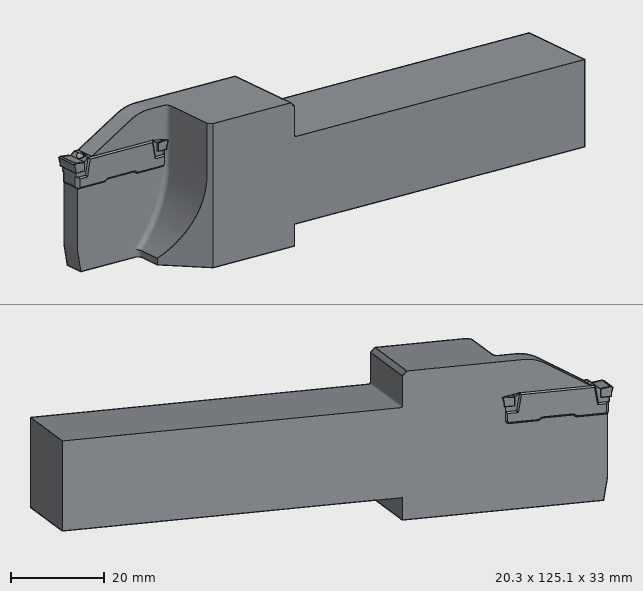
import cadquery as cq
import math


overall_length = 125.06
shank_width = 19.9
shank_top = 20.0
head_back = 47.75
head_top = 28.0
head_bottom = -5.0
head_back_chamfer = 1.0
neck_fillet = 0.5
blade_thickness = 4.9

nose_angle = math.radians(30)
nose_radius = 10.0
nose_arc_start = 20.2
front_face = 1.1
foot_relief_angle = math.radians(10)
foot_height = -head_bottom
clamp_bottom_inside_insert = 17.0

clearance_wall = 25.1
clearance_toe = 17.5
clearance_arc_top = 16.5
clearance_toe_height = 1.5
clearance_fillet = 1.2
corner_cut_start = 26.0
cut_margin = 1.0

insert_length = 25.0
edge_height = shank_top
insert_top = 20.7
insert_bottom = 14.1
rake_crest = 0.5
rake_crest_height = 0.15
land_length = 2.9
land_drop = 0.1
land_rise_end = 3.9
front_relief = 0.35
relief_bottom = 18.7
front_recess = 0.7
bottom_bevel = 0.5
arch_start = 8.2
arch_end = 9.0
arch_height = 0.5
front_bevel_width = 0.4
front_bevel_length = 0.8

pad_height = 0.35
pad_bevel = 0.35
pad_head_gap_length = 3.2
pad_head_gap_bottom = 16.8
head_overhang = 0.4
head_length = 2.7
head_lower_edge = 18.0

vee_width = 2.5
vee_depth = 0.4

dimple_diameter = 2.5
dimple_setback = 3.6
dimple_center_height = 21.1


def side_plate(points, x_start, thickness, taper=0):
    """Extrude a (Y, Z) outline along X; a negative thickness grows toward -X."""
    plane = cq.Workplane("YZ").workplane(offset=x_start)
    return plane.polyline(points).close().extrude(thickness, taper=taper)


def both_ends(half_outline):
    """Complete an outline given from the front end by mirroring it to the rear end."""
    rear = [(insert_length - y, z) for y, z in reversed(half_outline)]
    return half_outline + rear


def insert_core():
    half_outline = [
        (arch_end, insert_bottom + arch_height),
        (arch_start, insert_bottom),
        (front_recess + bottom_bevel, insert_bottom),
        (front_recess, insert_bottom + bottom_bevel),
        (front_recess, head_lower_edge),
        (front_relief, head_lower_edge),
        (front_relief, relief_bottom),
        (0, edge_height),
        (rake_crest, edge_height + rake_crest_height),
        (land_length, edge_height - land_drop),
        (land_rise_end, insert_top),
    ]
    return side_plate(both_ends(half_outline), 0, blade_thickness)


def insert_pad(x_start, direction):
    half_outline = [
        (arch_end, insert_bottom + arch_height),
        (arch_start, insert_bottom),
        (front_recess + bottom_bevel, insert_bottom),
        (front_recess, insert_bottom + bottom_bevel),
        (front_recess, pad_head_gap_bottom),
        (pad_head_gap_length, pad_head_gap_bottom),
        (land_rise_end, insert_top),
    ]
    pad_taper = math.degrees(math.atan2(pad_bevel, pad_height))
    return side_plate(both_ends(half_outline), x_start, direction * pad_height, pad_taper)


def cutting_heads():
    front_outline = [
        (0, edge_height),
        (rake_crest, edge_height + rake_crest_height),
        (head_length, edge_height - land_drop),
        (head_length, head_lower_edge),
        (front_relief, head_lower_edge),
        (front_relief, relief_bottom),
    ]
    rear_outline = [(insert_length - y, z) for y, z in front_outline]
    width = blade_thickness + 2 * head_overhang
    front_head = side_plate(front_outline, -head_overhang, width)
    return front_head.union(side_plate(rear_outline, -head_overhang, width))


def vee_groove(face_z, tip_z):
    middle = blade_thickness / 2
    return (
        cq.Workplane("XZ")
        .moveTo(middle - vee_width / 2, face_z)
        .lineTo(middle + vee_width / 2, face_z)
        .lineTo(middle, tip_z)
        .close()
        .extrude(-insert_length)
    )


def chip_breaker_dimples():
    middle = blade_thickness / 2
    return (
        cq.Workplane("XY")
        .workplane(offset=dimple_center_height)
        .pushPoints([(middle, dimple_setback), (middle, insert_length - dimple_setback)])
        .sphere(dimple_diameter / 2)
    )


def front_bevels():
    """Wedges that narrow the insert front below the cutting head."""
    left = -pad_height
    right = blade_thickness + pad_height
    bevels = cq.Workplane("XY")
    for side, inward in ((left, 1), (right, -1)):
        wedge = (
            cq.Workplane("XY")
            .workplane(offset=insert_bottom)
            .moveTo(side, front_recess)
            .lineTo(side + inward * (pad_height + front_bevel_width), front_recess)
            .lineTo(side, front_recess + front_bevel_length)
            .close()
            .extrude(pad_head_gap_bottom - insert_bottom)
        )
        bevels = bevels.add(wedge)
    return bevels.combine()


def insert_blank():
    """Insert before its dimples and front bevels; it also shapes the holder pocket."""
    blank = insert_core()
    blank = blank.union(insert_pad(0, -1))
    blank = blank.union(insert_pad(blade_thickness, 1))
    blank = blank.union(cutting_heads())
    blank = blank.cut(vee_groove(insert_top, insert_top - vee_depth))
    return blank.cut(vee_groove(insert_bottom, insert_bottom + vee_depth))


def shank():
    length = overall_length - head_back
    return cq.Workplane("XY").box(shank_width, length, shank_top, centered=False).translate((0, head_back, 0))


def head_blank():
    arc_end_y = nose_arc_start - nose_radius * math.sin(nose_angle)
    arc_end_z = head_top - nose_radius * (1 - math.cos(nose_angle))
    arc_mid_y = nose_arc_start - nose_radius * math.sin(nose_angle / 2)
    arc_mid_z = head_top - nose_radius * (1 - math.cos(nose_angle / 2))
    clamp_tip_y = arc_end_y - (arc_end_z - insert_top) / math.tan(nose_angle)
    foot_setback = foot_height * math.tan(foot_relief_angle)
    return (
        cq.Workplane("YZ")
        .moveTo(head_back, head_bottom)
        .lineTo(head_back, head_top - head_back_chamfer)
        .lineTo(head_back - head_back_chamfer, head_top)
        .lineTo(nose_arc_start, head_top)
        .threePointArc((arc_mid_y, arc_mid_z), (arc_end_y, arc_end_z))
        .lineTo(clamp_tip_y, insert_top)
        .lineTo(clamp_tip_y, clamp_bottom_inside_insert)
        .lineTo(front_face, clamp_bottom_inside_insert)
        .lineTo(front_face, head_bottom + foot_height)
        .lineTo(front_face + foot_setback, head_bottom)
        .close()
        .extrude(shank_width)
    )


def side_clearance():
    toe_z = head_bottom + clearance_toe_height
    depth = clearance_wall - clearance_toe
    drop = clearance_arc_top - toe_z
    radius = (drop**2 + depth**2) / (2 * depth)
    half_angle = math.asin(drop / radius) / 2
    arc_mid_y = clearance_wall - radius * (1 - math.cos(half_angle))
    arc_mid_z = clearance_arc_top - radius * math.sin(half_angle)
    return (
        cq.Workplane("YZ")
        .workplane(offset=blade_thickness)
        .moveTo(-cut_margin, head_bottom - cut_margin)
        .lineTo(clearance_toe, head_bottom - cut_margin)
        .lineTo(clearance_toe, toe_z)
        .threePointArc((arc_mid_y, arc_mid_z), (clearance_wall, clearance_arc_top))
        .lineTo(clearance_wall, head_top + cut_margin)
        .lineTo(-cut_margin, head_top + cut_margin)
        .close()
        .extrude(shank_width - blade_thickness + cut_margin)
        .edges("<X and (not <Y) and (not <Z) and (not >Z)")
        .fillet(clearance_fillet)
    )


def corner_cut():
    leg = corner_cut_start - clearance_toe + cut_margin
    return (
        cq.Workplane("XY")
        .workplane(offset=head_bottom - cut_margin)
        .moveTo(shank_width + cut_margin, corner_cut_start + cut_margin)
        .lineTo(shank_width + cut_margin, corner_cut_start - leg)
        .lineTo(shank_width - leg, corner_cut_start - leg)
        .close()
        .extrude(head_top - head_bottom + 2 * cut_margin)
    )


def rear_pocket_relief():
    """Open space above the unused rear cutting edge."""
    outline = [
        (insert_length - rake_crest, edge_height + rake_crest_height),
        (insert_length - land_length, edge_height - land_drop),
        (insert_length - land_rise_end, insert_top),
    ]
    return side_plate(outline, 0, blade_thickness)


def make_holder(pocket):
    body = shank().union(head_blank())
    neck_edge = cq.selectors.NearestToPointSelector((shank_width / 2, head_back, shank_top))
    body = body.edges(neck_edge).fillet(neck_fillet)
    body = body.cut(side_clearance()).cut(corner_cut())
    return body.cut(pocket).cut(rear_pocket_relief())


blank = insert_blank()
insert = blank.cut(chip_breaker_dimples()).cut(front_bevels())
holder = make_holder(blank)

result = cq.Compound.makeCompound([holder.val(), insert.val()])